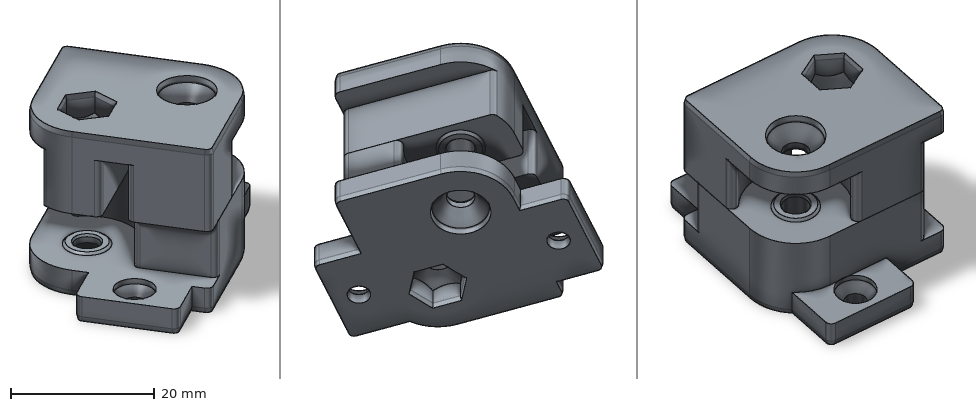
import cadquery as cq
import math


length_x = 28.27
width_y = 24.0
height = 26.0
plate_thickness = 4.0
large_radius = 8.0
small_radius = 1.0
bevel_height = 0.8
bevel_inset = 0.2
bevel_taper = math.degrees(math.atan2(bevel_inset, bevel_height))
right = length_x / 2
back = width_y / 2
left = -right
front = -back
joint_z = height / 2
cap_plate_z = height - plate_thickness

pivot_x = right - large_radius
pivot_y = back - large_radius
lower_pivot = (-pivot_x, -pivot_y)
upper_pivot = (pivot_x, pivot_y)
pocket_radius = 7.98
left_setback = 3.45
front_setback = 3.2
block_left = left + left_setback
slot_left = pivot_x - pocket_radius
slot_right = -pivot_x + pocket_radius

tip_reach = pocket_radius + small_radius
tip_rise = large_radius - small_radius
tip_angle = math.asin(tip_rise / tip_reach)
tip_run = tip_reach * math.cos(tip_angle)

ring_height = 0.38
ring_base_radius = 3.45
ring_top_radius = ring_base_radius - ring_height

screw_radius = 1.98
screw_mouth_radius = screw_radius + bevel_inset
head_radius = 4.03
head_straight_depth = 1.0
nut_across_flats = 7.05
nut_depth = 3.3

tab_length_y = 38
tab_width = 15.0
tab_x = 3.8
tab_screw_spacing = 29.75
tab_screw_radius = 1.65
tab_head_radius = 3.0
tab_head_straight_depth = 0.85


def on_circle(center, radius, angle):
    """Point on a circle at an angle in radians."""
    return (center[0] + radius * math.cos(angle), center[1] + radius * math.sin(angle))


def bevelled_plate(sketch):
    """Plate standing on Z = 0 whose lower rim tapers inwards."""
    straight = cq.Workplane().placeSketch(sketch).extrude(plate_thickness - bevel_height)
    bevel = cq.Workplane().placeSketch(sketch).extrude(bevel_height, taper=bevel_taper)
    return straight.translate((0, 0, bevel_height)).union(bevel.mirror("XY").translate((0, 0, bevel_height)))


def plate_sketch():
    """Rectangle with two large corners on one diagonal and two small ones on the other."""
    sketch = cq.Sketch().rect(length_x, width_y)
    sketch = sketch.vertices("<(1, 1, 0) or >(1, 1, 0)").fillet(large_radius).reset()
    return sketch.vertices("<(1, -1, 0) or >(1, -1, 0)").fillet(small_radius).reset()


def tab_sketch():
    """Strip whose two ends are the mounting tabs."""
    strip = cq.Sketch().push([(tab_x, 0)]).rect(tab_width, tab_length_y).reset()
    return strip.vertices().fillet(small_radius).reset()


def prism(sketch, bottom, top):
    """Upright extrusion of a sketch between two heights."""
    return cq.Workplane(origin=(0, 0, bottom)).placeSketch(sketch).extrude(top - bottom)


def box(x_range, y_range, bottom, top):
    """Box between two corners."""
    size = (x_range[1] - x_range[0], y_range[1] - y_range[0], top - bottom)
    return cq.Workplane().box(*size, centered=False).translate((x_range[0], y_range[0], bottom))


def round_upright_edges(body, corners, z):
    """Round the upright edges nearest to the given XY points."""
    for corner in corners:
        edge = body.edges("|Z").edges(cq.selectors.NearestToPointSelector((*corner, z)))
        body = edge.fillet(small_radius)
    return body


def bearing_ring():
    """Conical ring standing on Z = 0."""
    return cq.Workplane("XZ").polyline([
        (0, 0), (ring_base_radius, 0), (ring_top_radius, ring_height), (0, ring_height),
    ]).close().revolve(360, (0, 0), (0, 1))


def ring_mouth():
    """Cutter for the flared screw hole through a bearing ring standing on Z = 0."""
    return cq.Workplane("XZ").polyline([
        (0, 0), (screw_radius, 0), (screw_mouth_radius, ring_height), (0, ring_height),
    ]).close().revolve(360, (0, 0), (0, 1))


def screw_hole():
    """Cutter for a screw hole, reaching from Z = 0 down to the joint."""
    return cq.Workplane().circle(screw_radius).extrude(-joint_z)


def head_recess():
    """Cutter for a conical screw head below Z = 0, with a bevelled mouth."""
    head_bottom = head_straight_depth + head_radius - screw_radius
    return cq.Workplane("XZ").polyline([
        (0, 0),
        (head_radius + bevel_inset, 0),
        (head_radius, -bevel_height),
        (head_radius, -head_straight_depth),
        (screw_radius, -head_bottom),
        (0, -head_bottom),
    ]).close().revolve(360, (0, 0), (0, 1))


def nut_recess():
    """Cutter for a hexagonal nut below Z = 0, with a bevelled mouth and a 45 degree conical floor."""
    corner_radius = nut_across_flats / math.sqrt(3)
    mouth_sketch = cq.Sketch().regularPolygon(corner_radius + bevel_inset * 2 / math.sqrt(3), 6)
    nut_sketch = cq.Sketch().regularPolygon(corner_radius, 6)
    floor_depth = nut_depth + corner_radius - screw_radius
    envelope = cq.Workplane("XZ").polyline([
        (0, 0),
        (corner_radius, 0),
        (corner_radius, -nut_depth),
        (screw_radius, -floor_depth),
        (0, -floor_depth),
    ]).close().revolve(360, (0, 0), (0, 1))
    hexagon = cq.Workplane().placeSketch(nut_sketch).extrude(-floor_depth)
    mouth = cq.Workplane().placeSketch(mouth_sketch).extrude(-bevel_height, taper=bevel_taper)
    return hexagon.intersect(envelope).union(mouth)


def tab_screw_hole():
    """Cutter for a countersunk mounting screw below Z = 0."""
    cone_bottom = tab_head_straight_depth + tab_head_radius - tab_screw_radius
    return cq.Workplane("XZ").polyline([
        (0, 0),
        (tab_head_radius, 0),
        (tab_head_radius, -tab_head_straight_depth),
        (tab_screw_radius, -cone_bottom),
        (tab_screw_radius, -plate_thickness),
        (0, -plate_thickness),
    ]).close().revolve(360, (0, 0), (0, 1))


def base_block():
    """Block between the base plate and the joint, with the lower idler pocket."""
    z_range = (plate_thickness, joint_z)
    block = prism(plate_sketch(), *z_range)
    block = block.intersect(box((block_left, right), (front + front_setback, back), *z_range))
    pocket = prism(cq.Sketch().push([lower_pivot]).circle(pocket_radius), *z_range)
    opening = box((left, slot_right), (front, -pivot_y), *z_range)
    block = block.cut(pocket).cut(opening)
    pocket_end_y = -pivot_y + math.sqrt(pocket_radius**2 - (block_left + pivot_x) ** 2)
    corners = [
        (block_left, back),
        (block_left, pocket_end_y),
        (slot_right, front + front_setback),
        (right, front + front_setback),
    ]
    return round_upright_edges(block, corners, (plate_thickness + joint_z) / 2)


def base_body():
    """Base plate, mounting tabs and the block around the lower idler."""
    body = bevelled_plate(plate_sketch()).union(bevelled_plate(tab_sketch()))
    for y in (-tab_screw_spacing / 2, tab_screw_spacing / 2):
        body = body.cut(tab_screw_hole().translate((tab_x, y, plate_thickness)))
    body = body.union(base_block())
    for pivot, ring_z, recess in (
        (lower_pivot, plate_thickness, head_recess()),
        (upper_pivot, joint_z, nut_recess()),
    ):
        body = body.union(bearing_ring().translate((*pivot, ring_z)))
        body = body.cut(ring_mouth().translate((*pivot, ring_z)))
        for cutter in (screw_hole(), recess):
            body = body.cut(cutter.mirror("XY").translate((*pivot, 0)))
    return body


def left_pillar():
    """Cap pillar around the nut, left of the slot."""
    tip = (pivot_x - tip_run, back - small_radius)
    pocket_start = on_circle(tip, small_radius, -tip_angle)
    tip_middle = on_circle(tip, small_radius, (math.pi / 2 - tip_angle) / 2)
    pocket_middle = on_circle(upper_pivot, pocket_radius, math.pi - tip_angle / 2)
    pillar = (
        cq.Workplane(origin=(0, 0, joint_z))
        .moveTo(block_left, back)
        .lineTo(tip[0], back)
        .threePointArc(tip_middle, pocket_start)
        .threePointArc(pocket_middle, (slot_left, pivot_y))
        .lineTo(slot_left, front)
        .lineTo(block_left, front)
        .close()
        .extrude(cap_plate_z - joint_z)
    )
    pillar = pillar.intersect(prism(plate_sketch(), joint_z, cap_plate_z))
    corner_y = -pivot_y - math.sqrt(large_radius**2 - (block_left + pivot_x) ** 2)
    corners = [(block_left, back), (block_left, corner_y), (slot_left, front)]
    return round_upright_edges(pillar, corners, (joint_z + cap_plate_z) / 2)


def right_pillar():
    """Cap pillar in front of the upper pocket, right of the slot."""
    tip = (right - small_radius, pivot_y - tip_run)
    pocket_start = on_circle(tip, small_radius, math.pi / 2 + tip_angle)
    tip_middle = on_circle(tip, small_radius, (math.pi / 2 + tip_angle) / 2)
    slot_angle = -math.acos((slot_right - pivot_x) / pocket_radius)
    pocket_end = on_circle(upper_pivot, pocket_radius, slot_angle)
    pocket_middle = on_circle(upper_pivot, pocket_radius, (slot_angle + tip_angle - math.pi / 2) / 2)
    pillar = (
        cq.Workplane(origin=(0, 0, joint_z))
        .moveTo(right, front)
        .lineTo(right, tip[1])
        .threePointArc(tip_middle, pocket_start)
        .threePointArc(pocket_middle, pocket_end)
        .lineTo(slot_right, front)
        .close()
        .extrude(cap_plate_z - joint_z)
    )
    corners = [(right, front), (slot_right, front)]
    return round_upright_edges(pillar, corners, (joint_z + cap_plate_z) / 2)


def cap_body():
    """Top plate with the two pillars beside the upper idler."""
    plate = bevelled_plate(plate_sketch()).mirror("XY").translate((0, 0, height))
    body = plate.union(left_pillar()).union(right_pillar())
    for pivot, ring_z, recess in (
        (lower_pivot, joint_z, nut_recess()),
        (upper_pivot, cap_plate_z, head_recess()),
    ):
        body = body.union(bearing_ring().mirror("XY").translate((*pivot, ring_z)))
        body = body.cut(ring_mouth().mirror("XY").translate((*pivot, ring_z)))
        for cutter in (screw_hole(), recess):
            body = body.cut(cutter.translate((*pivot, height)))
    return body


base = base_body().solids()
cap = cap_body().solids()
result = cq.Compound.makeCompound([base.val(), cap.val()])